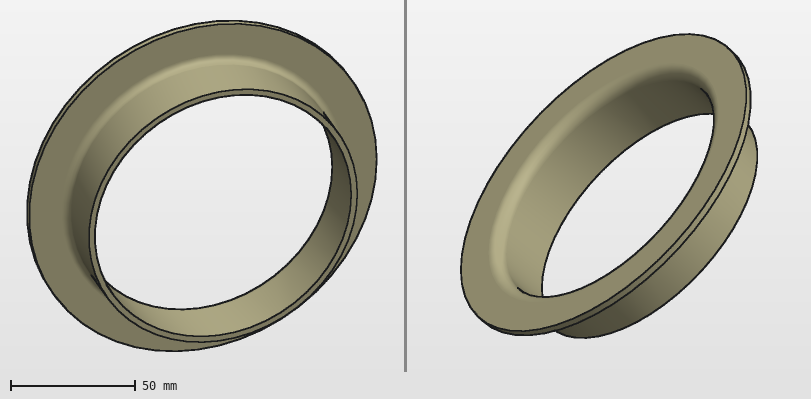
import cadquery as cq

flange_diameter = 148.0
collar_diameter = 114.3
bore_diameter = 109.1
total_length = 28.0
flange_thickness = 3.0
lip_radius = 5.0
root_radius = 3.1

flange_radius = flange_diameter / 2
collar_radius = collar_diameter / 2
bore_radius = bore_diameter / 2

half_section = (
    cq.Workplane("XY")
    .moveTo(0, bore_radius + lip_radius)
    .lineTo(0, flange_radius)
    .lineTo(flange_thickness, flange_radius)
    .lineTo(flange_thickness, collar_radius + root_radius)
    .tangentArcPoint((flange_thickness + root_radius, collar_radius), relative=False)
    .lineTo(total_length, collar_radius)
    .lineTo(total_length, bore_radius)
    .lineTo(lip_radius, bore_radius)
    .tangentArcPoint((0, bore_radius + lip_radius), relative=False)
    .close()
)

result = half_section.revolve(360, (0, 0, 0), (1, 0, 0))